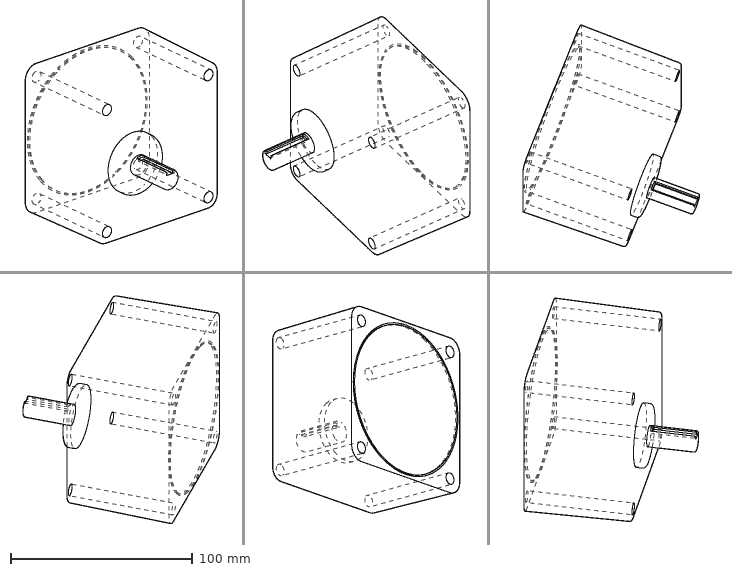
import cadquery as cq
import math

total_length = 92.0
body_length = 60.0
body_size = 90.0
corner_radius = 8.2
draft_angle = 1.0
front_edge_radius = 1.5

hole_diameter = 6.5
hole_offset = 36.8

groove_outer_diameter = 86.85
groove_inner_diameter = 85.0
groove_depth = 1.0

shaft_y = -18.0
boss_diameter = 36.0
boss_length = 5.0
boss_edge_radius = 1.5
shaft_diameter = 12.0
shaft_edge_radius = 1.0

keyway_width = 4.0
keyway_depth = 2.5
keyway_start = 67.2
keyway_chamfer = 0.7


def plane_at(x, y=0):
    """Sketch plane facing +X, with local x along Y and local y along Z."""
    return cq.Workplane("YZ", origin=(x, y, 0))


def make_body():
    profile = cq.Sketch().rect(body_size, body_size).vertices().fillet(corner_radius)
    body = plane_at(0).placeSketch(profile).extrude(body_length, taper=draft_angle)
    return body.faces(">X").edges().fillet(front_edge_radius)


def make_mounting_holes():
    spacing = 2 * hole_offset
    return plane_at(0).rect(spacing, spacing, forConstruction=True).vertices().circle(
        hole_diameter / 2
    ).extrude(body_length)


def make_groove():
    wall_width = (groove_outer_diameter - groove_inner_diameter) / 2
    taper = math.degrees(math.atan(wall_width / groove_depth))
    cone = plane_at(0).circle(groove_outer_diameter / 2).extrude(groove_depth, taper=taper)
    core = plane_at(0).circle(groove_inner_diameter / 2).extrude(groove_depth)
    return cone.cut(core)


def make_boss():
    boss = plane_at(body_length, shaft_y).circle(boss_diameter / 2).extrude(boss_length)
    return boss.faces(">X").edges().fillet(boss_edge_radius)


def make_shaft():
    shaft_radius = shaft_diameter / 2
    shaft = plane_at(body_length, shaft_y).circle(shaft_radius).extrude(total_length - body_length)
    shaft = shaft.faces(">X").edges().fillet(shaft_edge_radius)

    keyway_floor = shaft_radius - keyway_depth
    keyway = cq.Workplane("XY", origin=(keyway_start, shaft_y, keyway_floor)).box(
        total_length - keyway_start, keyway_width, shaft_diameter, centered=(False, True, False)
    )
    shaft = shaft.cut(keyway)

    mouth = cq.selectors.BoxSelector(
        (keyway_start - keyway_chamfer, shaft_y - keyway_width, keyway_floor + keyway_depth / 2),
        (total_length - 2 * shaft_edge_radius, shaft_y + keyway_width, shaft_diameter),
    )
    return shaft.edges(mouth).chamfer(keyway_chamfer)


body = make_body().cut(make_groove()).cut(make_mounting_holes())
result = body.union(make_boss()).union(make_shaft())